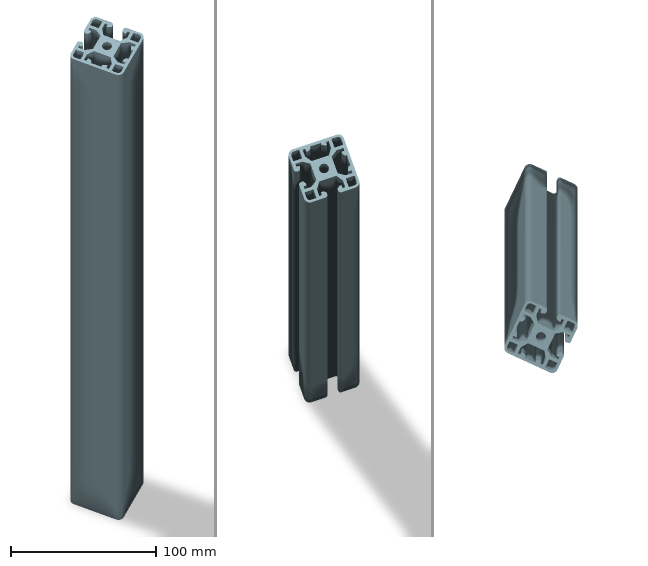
import cadquery as cq
LENGTH = 500.0
WIDTH = 40.0
CORNER_RADIUS = 4.0
HALF_WIDTH = WIDTH / 2

CORE_WIDTH = 15.5
BORE_RADIUS = 3.4
HALF_CORE = CORE_WIDTH / 2

CHAMBER_WIDTH = 19.0
FLOOR_WIDTH = 12.5
WALL_START = 12.5
CLOSED_SKIN = 2.0
HALF_CHAMBER = CHAMBER_WIDTH / 2

SLOT_OPENING = 8.0
MOUTH_RADIUS = 1.75
HALF_OPENING = SLOT_OPENING / 2

GROOVE_WIDTH = 2.0
GROOVE_SKIN = 2.5
FOOT_DEPTH = 4.75
LIP_DEPTH = 3.5
LIP_BEVEL = 2.0

POCKET_WALL = 1.75
POCKET_WEB = 2.25
POCKET_OUTER_RADIUS = 2.5
POCKET_INNER_RADIUS = 0.5

OPEN_TURNS = (0, 90)
CLOSED_TURNS = (180, 270)


def turned(shape, angle):
    return shape.rotate((0, 0, 0), (0, 0, 1), angle)


def mirrored_prism(right_half):
    """Extrude a symmetric outline from its +X half, listed from the core outwards."""
    left_half = [(-x, y) for x, y in reversed(right_half)]
    return cq.Workplane("XY").polyline(right_half + left_half).close().extrude(LENGTH)


def chamber_side():
    """+X half of a chamber: floor, sloped web, wall, groove and the foot of the lip."""
    groove_roof = HALF_WIDTH - GROOVE_SKIN
    foot_outer = HALF_CHAMBER - GROOVE_WIDTH
    foot_face = HALF_WIDTH - FOOT_DEPTH
    return [
        (FLOOR_WIDTH / 2, HALF_CORE),
        (HALF_CHAMBER, WALL_START),
        (HALF_CHAMBER, groove_roof),
        (foot_outer, groove_roof),
        (foot_outer, foot_face),
        (HALF_OPENING + LIP_BEVEL, foot_face),
        (HALF_OPENING, HALF_WIDTH - LIP_DEPTH),
    ]


def slot_mouth():
    """Flare that rounds the outer edges of an open slot."""
    bottom = HALF_WIDTH - MOUTH_RADIUS
    flare = HALF_OPENING + MOUTH_RADIUS
    return (
        cq.Workplane("XY")
        .moveTo(HALF_OPENING, bottom)
        .radiusArc((flare, HALF_WIDTH), MOUTH_RADIUS)
        .lineTo(-flare, HALF_WIDTH)
        .radiusArc((-HALF_OPENING, bottom), MOUTH_RADIUS)
        .close()
        .extrude(LENGTH)
    )


def open_chamber():
    """Chamber that opens through the +Y side between two lips."""
    return mirrored_prism(chamber_side() + [(HALF_OPENING, HALF_WIDTH)]).union(slot_mouth())


def closed_chamber():
    """Chamber that a thin skin closes on the +Y side."""
    return mirrored_prism(chamber_side() + [(HALF_OPENING, HALF_WIDTH - CLOSED_SKIN)])


def corner_pocket():
    """Pocket inside the +X +Y corner, most rounded towards the outer corner."""
    start = HALF_CHAMBER + POCKET_WEB
    size = HALF_WIDTH - POCKET_WALL - start
    pocket = cq.Workplane("XY").box(size, size, LENGTH, centered=False)
    pocket = pocket.edges("|Z and >X and >Y").fillet(POCKET_OUTER_RADIUS)
    pocket = pocket.edges("|Z and (<X or <Y)").fillet(POCKET_INNER_RADIUS)
    return pocket.translate((start, start, 0))


def outer_bar():
    return cq.Workplane("XY").rect(WIDTH, WIDTH).extrude(LENGTH).edges("|Z").fillet(CORNER_RADIUS)


profile = outer_bar().cut(cq.Workplane("XY").circle(BORE_RADIUS).extrude(LENGTH))

for angle in OPEN_TURNS:
    profile = profile.cut(turned(open_chamber(), angle))

for angle in CLOSED_TURNS:
    profile = profile.cut(turned(closed_chamber(), angle))

for angle in OPEN_TURNS + CLOSED_TURNS:
    profile = profile.cut(turned(corner_pocket(), angle))

result = profile.translate((0, 0, -LENGTH / 2))